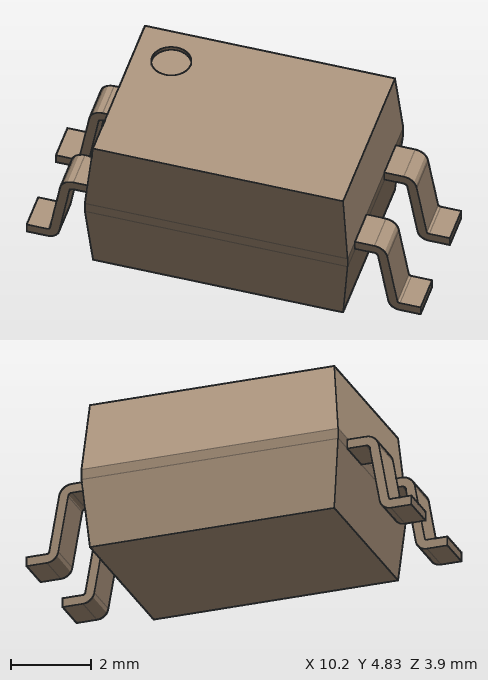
import cadquery as cq
import math

OVERALL_LENGTH = 10.2
BODY_LENGTH = 6.8
BODY_WIDTH = 4.83
BODY_HEIGHT = 3.9

BAND_BOTTOM = 1.82
BAND_HEIGHT = 0.28
TAPER_INSET = 0.16

MARK_DIAMETER = 1.0
MARK_X = -2.25
MARK_Y = 1.24
MARK_DEPTH = 0.1

LEAD_WIDTH = 1.0
LEAD_PITCH = 2.54
LEAD_THICKNESS = 0.24
FOOT_LENGTH = 0.54
LEG_ANGLE = math.radians(10.0)
SHOULDER_INNER_RADIUS = 0.1
HEEL_INNER_RADIUS = 0.06


def make_housing():
    """Tapered package body with the mark recessed in its top."""
    top_height = BODY_HEIGHT - BAND_BOTTOM - BAND_HEIGHT
    top_taper = math.degrees(math.atan(TAPER_INSET / top_height))
    bottom_taper = math.degrees(math.atan(TAPER_INSET / BAND_BOTTOM))
    band = (
        cq.Workplane("XY", origin=(0, 0, BAND_BOTTOM))
        .rect(BODY_LENGTH, BODY_WIDTH)
        .extrude(BAND_HEIGHT)
    )
    upper = (
        cq.Workplane("XY", origin=(0, 0, BAND_BOTTOM + BAND_HEIGHT))
        .rect(BODY_LENGTH, BODY_WIDTH)
        .extrude(top_height, taper=top_taper)
    )
    lower = (
        cq.Workplane("XY", origin=(0, 0, BAND_BOTTOM))
        .rect(BODY_LENGTH, BODY_WIDTH)
        .extrude(-BAND_BOTTOM, taper=bottom_taper)
    )
    mark = (
        cq.Workplane("XY", origin=(MARK_X, MARK_Y, BODY_HEIGHT))
        .circle(MARK_DIAMETER / 2)
        .extrude(-MARK_DEPTH)
    )
    return band.union(upper).union(lower).cut(mark)


def make_left_lead(y_center):
    """Lead on the -X side, from its toe up to the face of the housing band."""
    toe_x = -OVERALL_LENGTH / 2
    root_x = -BODY_LENGTH / 2
    underside_z = BAND_BOTTOM
    topside_z = underside_z + LEAD_THICKNESS
    heel_outer_radius = HEEL_INNER_RADIUS + LEAD_THICKNESS
    shoulder_outer_radius = SHOULDER_INNER_RADIUS + LEAD_THICKNESS

    heel_x = toe_x + FOOT_LENGTH
    heel_z = heel_outer_radius
    shoulder_z = underside_z - SHOULDER_INNER_RADIUS
    leg_offset = heel_outer_radius + SHOULDER_INNER_RADIUS
    rise = shoulder_z - heel_z
    shoulder_x = heel_x + (leg_offset + rise * math.sin(LEG_ANGLE)) / math.cos(LEG_ANGLE)

    def on_heel(radius, angle):
        return (heel_x + radius * math.cos(angle), heel_z + radius * math.sin(angle))

    def on_shoulder(radius, angle):
        return (shoulder_x - radius * math.cos(angle), shoulder_z + radius * math.sin(angle))

    heel_end = -LEG_ANGLE
    heel_middle = (heel_end - math.pi / 2) / 2
    shoulder_start = LEG_ANGLE
    shoulder_middle = (shoulder_start + math.pi / 2) / 2

    profile = (
        cq.Workplane("XZ", origin=(0, y_center + LEAD_WIDTH / 2, 0))
        .moveTo(toe_x, 0)
        .lineTo(heel_x, 0)
        .threePointArc(on_heel(heel_outer_radius, heel_middle), on_heel(heel_outer_radius, heel_end))
        .lineTo(*on_shoulder(SHOULDER_INNER_RADIUS, shoulder_start))
        .threePointArc(
            on_shoulder(SHOULDER_INNER_RADIUS, shoulder_middle), (shoulder_x, underside_z)
        )
        .lineTo(root_x, underside_z)
        .lineTo(root_x, topside_z)
        .lineTo(shoulder_x, topside_z)
        .threePointArc(
            on_shoulder(shoulder_outer_radius, shoulder_middle),
            on_shoulder(shoulder_outer_radius, shoulder_start),
        )
        .lineTo(*on_heel(HEEL_INNER_RADIUS, heel_end))
        .threePointArc(on_heel(HEEL_INNER_RADIUS, heel_middle), (heel_x, LEAD_THICKNESS))
        .lineTo(toe_x, LEAD_THICKNESS)
        .close()
    )
    return profile.extrude(LEAD_WIDTH)


housing = make_housing()

leads = []
for y_center in (-LEAD_PITCH / 2, LEAD_PITCH / 2):
    left_lead = make_left_lead(y_center)
    right_lead = left_lead.mirror("YZ")
    leads.append(left_lead.val())
    leads.append(right_lead.val())

result = cq.Compound.makeCompound([housing.solids().val(), *leads])